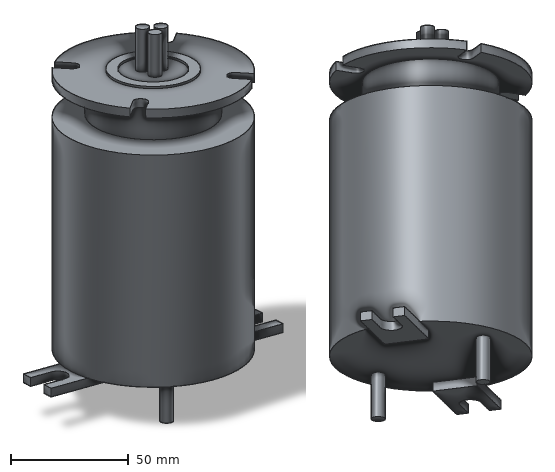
import cadquery as cq

pin_length = 20.1
body_height = 106.6
neck_height = 1.3
collar_height = 15.7
flange_thickness = 4.0
ring_height = 1.0
cable_length = 18.5

body_diameter = 86.0
neck_diameter = 44.2
collar_diameter = 58.3
flange_diameter = body_diameter
ring_outer_diameter = 40.2
ring_inner_diameter = 30.1

rod_diameter = 6.0
cable_centres = [(0, 4.0), (4.0, -2.0), (-3.9, -2.8)]
pin_x = 28.6
pin_y = 13.9
pin_centres = [(-pin_x, pin_y), (pin_x, -pin_y)]

flange_slot_count = 4
flange_slot_width = 6.7
flange_slot_radius = 35.0

tab_span = 122.0
tab_width = 20.0
tab_length = 30.5
tab_thickness = 4.0
tab_slot_width = 9.5
tab_slot_depth = 15.5

neck_base = body_height
collar_base = neck_base + neck_height
flange_base = collar_base + collar_height
flange_top = flange_base + flange_thickness


def disc(diameter, base, height):
    return cq.Workplane("XY").workplane(offset=base).circle(diameter / 2).extrude(height)


def rods(centres, base, length):
    return (
        cq.Workplane("XY").workplane(offset=base)
        .pushPoints(centres).circle(rod_diameter / 2).extrude(length)
    )


def open_slot(width, centre_distance, outer_distance, base, height):
    """Cutter along +X with a round inner end and an outer end beyond the edge."""
    length = outer_distance - centre_distance
    channel = (
        cq.Workplane("XY").workplane(offset=base)
        .center(centre_distance + length / 2, 0).rect(length, width).extrude(height)
    )
    round_end = disc(width, base, height).translate((centre_distance, 0, 0))
    return channel.union(round_end)


def rotated(shape, angle):
    return shape.rotate((0, 0, 0), (0, 0, 1), angle)


def slotted_flange():
    flange = disc(flange_diameter, flange_base, flange_thickness)
    slot = open_slot(
        flange_slot_width, flange_slot_radius, flange_diameter, flange_base, flange_thickness
    )
    pitch = 360 / flange_slot_count
    for index in range(flange_slot_count):
        flange = flange.cut(rotated(slot, pitch * (index + 0.5)))
    return flange


def mounting_tab():
    """Forked tab pointing along +X."""
    tab_end = tab_span / 2
    plate = (
        cq.Workplane("XY").workplane(offset=-tab_thickness)
        .center(tab_end - tab_length / 2, 0).rect(tab_length, tab_width).extrude(tab_thickness)
    )
    slot_centre = tab_end - tab_slot_depth + tab_slot_width / 2
    slot = open_slot(tab_slot_width, slot_centre, tab_span, -tab_thickness, tab_thickness)
    return plate.cut(slot)


result = disc(body_diameter, 0, body_height)
result = result.union(disc(neck_diameter, neck_base, neck_height))
result = result.union(disc(collar_diameter, collar_base, collar_height))
result = result.union(slotted_flange())

ring = disc(ring_outer_diameter, flange_top, ring_height)
ring = ring.cut(disc(ring_inner_diameter, flange_top, ring_height))
result = result.union(ring)

result = result.union(rods(cable_centres, flange_top, ring_height + cable_length))

result = result.union(rods(pin_centres, -pin_length, pin_length))

for tab_angle in (90, -90):
    result = result.union(rotated(mounting_tab(), tab_angle))